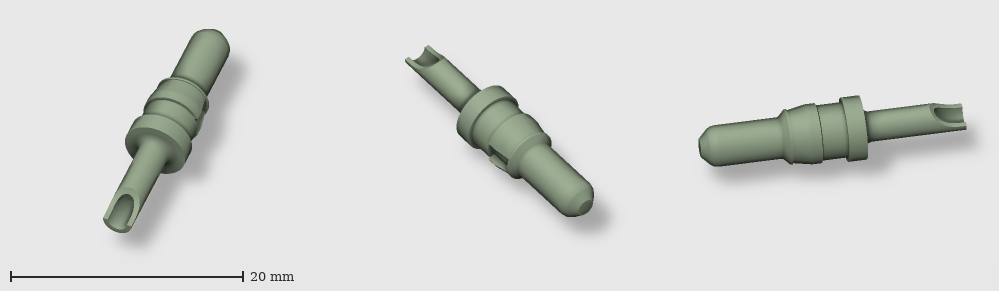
import cadquery as cq
import math

total_length = 23.1

pin_radius = 1.8
tip_radius = 0.8
tip_chamfer_length = 1.0
tip_blend_radius = 1.0

collar_radius = 2.4
collar_back = 15.3
collar_rim_width = 0.18
collar_blend_radius = 0.23

groove_front = 12.68
groove_radius = 1.95

flange_radius = 2.8
flange_back = 8.87
flange_front = 10.49

cup_radius = 1.32
cup_fillet_radius = 0.7
bore_radius = 0.88
bore_depth = 3.46
bore_tip_angle = 118.0
lip_length = 0.49
scoop_length = 3.0

ring_radius = 2.6
ring_nose_radius = 2.29
ring_back = 12.77
ring_cone_start = 13.6
ring_gap_angle = 45.0


def turn(profile):
    """Revolve a (radius, Y) profile about the Y axis."""
    return profile.close().revolve(360, (0, 0, 0), (0, 1, 0))


def make_contact_blank():
    """Turned contact with pin, collar, groove, flange and cup stem."""
    rim_front = collar_back + collar_rim_width
    collar_front = rim_front + collar_radius - pin_radius
    tip_corner = total_length - tip_chamfer_length
    profile = (
        cq.Workplane("XY")
        .moveTo(0, 0)
        .lineTo(cup_radius, 0)
        .lineTo(cup_radius, flange_back - cup_fillet_radius)
        .radiusArc((cup_radius + cup_fillet_radius, flange_back), cup_fillet_radius)
        .lineTo(flange_radius, flange_back)
        .lineTo(flange_radius, flange_front)
        .lineTo(collar_radius, flange_front)
        .lineTo(collar_radius, groove_front)
        .lineTo(groove_radius, groove_front)
        .lineTo(groove_radius, collar_back)
        .lineTo(collar_radius, collar_back)
        .lineTo(collar_radius, rim_front)
        .lineTo(pin_radius, collar_front)
        .lineTo(pin_radius, tip_corner)
        .lineTo(tip_radius, total_length)
        .lineTo(0, total_length)
    )
    blank = turn(profile)
    blank = blank.edges(ring_edge(pin_radius, collar_front)).fillet(collar_blend_radius)
    return blank.edges(ring_edge(pin_radius, tip_corner)).fillet(tip_blend_radius)


def ring_edge(radius, y):
    """Select the circular edge of the given radius at the given Y."""
    margin = 0.002
    reach = radius + margin
    return cq.selectors.BoxSelector(
        (-reach, y - margin, -reach), (reach, y + margin, reach), boundingbox=True
    )


def make_bore():
    """Blind wire bore with a conical drill point."""
    point_length = bore_radius / math.tan(math.radians(bore_tip_angle / 2))
    profile = (
        cq.Workplane("XY")
        .moveTo(0, 0)
        .lineTo(bore_radius, 0)
        .lineTo(bore_radius, bore_depth)
        .lineTo(0, bore_depth + point_length)
    )
    return turn(profile)


def make_scoop():
    """Cutter that opens the upper half of the cup: a flat lip, then an arc tangent to it."""
    rise = cup_radius
    run = scoop_length - lip_length
    arc_radius = (run**2 + rise**2) / (2 * rise)
    return (
        cq.Workplane("YZ")
        .moveTo(0, 0)
        .lineTo(lip_length, 0)
        .radiusArc((scoop_length, rise), -arc_radius)
        .lineTo(0, rise)
        .close()
        .extrude(cup_radius, both=True)
    )


def make_retaining_ring():
    """Split ring with a tapered nose, seated in the groove and open on the +X side."""
    profile = (
        cq.Workplane("XY")
        .moveTo(groove_radius, ring_back)
        .lineTo(ring_radius, ring_back)
        .lineTo(ring_radius, ring_cone_start)
        .lineTo(ring_nose_radius, collar_back)
        .lineTo(groove_radius, collar_back)
    )
    ring = profile.close().revolve(360 - ring_gap_angle, (0, 0, 0), (0, 1, 0))
    return ring.rotate((0, 0, 0), (0, 1, 0), ring_gap_angle / 2)


contact = make_contact_blank().cut(make_bore()).cut(make_scoop())
retaining_ring = make_retaining_ring()

result = cq.Compound.makeCompound([contact.val(), retaining_ring.val()])